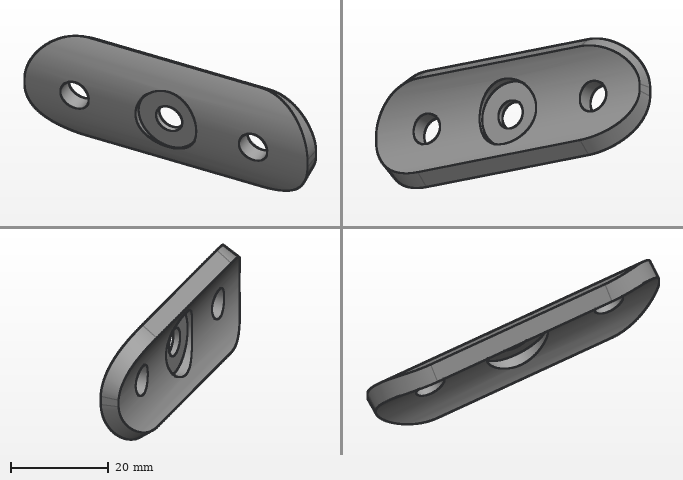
import cadquery as cq
import math

length = 65.0
height = 25.0
outer_radius = 21.0
thickness = 4.0
inner_radius = outer_radius - thickness

corner_radius = 12.5
unrolled_half = outer_radius * math.asin(height / 2 / outer_radius)
CORNER_INTERVALS = 12

side_hole_diameter = 6.5
left_hole_x = -21.0
right_hole_x = 20.0
center_hole_diameter = 6.0
counterbore_diameter = 14.0
counterbore_depth = 1.5
back_recess_depth = 1.0


def tube():
    """Full tube around the X axis, reaching well past both ends of the plate."""
    return (
        cq.Workplane("YZ")
        .circle(outer_radius)
        .circle(inner_radius)
        .extrude(length, both=True)
    )


def corner_points(distance):
    """Rounded +X +Z corner on the plane y = -distance, from the end to the long edge.

    The corner is a quarter circle on the unrolled outer surface, carried along
    radial lines from the tube axis onto the plane.
    """
    points = []
    for i in range(CORNER_INTERVALS + 1):
        turn = math.pi / 2 * i / CORNER_INTERVALS
        x = length / 2 - corner_radius + corner_radius * math.cos(turn)
        arc_height = unrolled_half - corner_radius + corner_radius * math.sin(turn)
        points.append((x, distance * math.tan(arc_height / outer_radius)))
    return points


def outline(plane, distance):
    """Closed plate outline projected radially onto the plane y = -distance."""
    top_right = corner_points(distance)
    top_left = [(-x, z) for x, z in reversed(top_right)]
    bottom_left = [(-x, -z) for x, z in top_right]
    bottom_right = [(x, -z) for x, z in reversed(top_right)]
    sketch = plane.moveTo(*top_right[0]).spline(top_right[1:], includeCurrent=True)
    for corner in (top_left, bottom_left, bottom_right):
        sketch = sketch.lineTo(*corner[0]).spline(corner[1:], includeCurrent=True)
    return sketch.close()


def radial_wedge():
    """Solid with radial side walls that trims the tube to the plate outline."""
    near = inner_radius / 2
    far = outer_radius + thickness
    near_outline = outline(cq.Workplane("XZ", origin=(0, -near, 0)), near)
    far_outline = outline(near_outline.workplane(offset=far - near), far)
    return far_outline.loft(ruled=True)


def bore(x, diameter, start, depth):
    """Cylinder along +Y, starting at y = start."""
    return (
        cq.Workplane("XZ", origin=(x, start, 0))
        .circle(diameter / 2)
        .extrude(-depth)
    )


result = tube().intersect(radial_wedge())

for x in (left_hole_x, right_hole_x):
    result = result.cut(bore(x, side_hole_diameter, -outer_radius, outer_radius))

result = result.cut(bore(0, center_hole_diameter, -outer_radius, outer_radius))
result = result.cut(bore(0, counterbore_diameter, -outer_radius, counterbore_depth))

back_recess_floor = back_recess_depth + inner_radius
result = result.cut(bore(0, counterbore_diameter, -back_recess_floor, back_recess_floor))